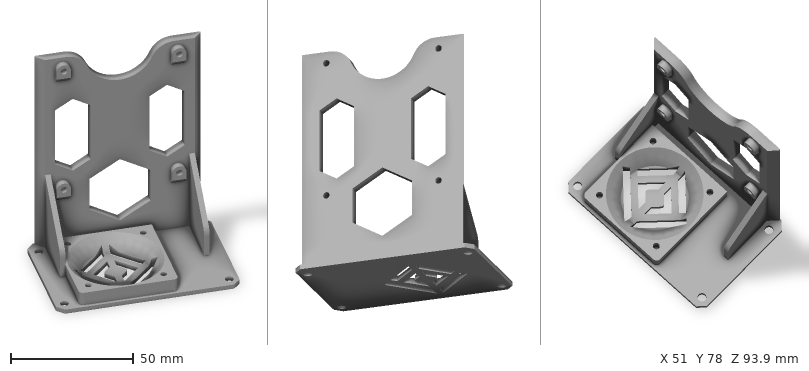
import cadquery as cq
import math

plate_length = 51.0
plate_width = 78.0
plate_thickness = 2.0
plate_chamfer = 3.1
mount_hole_diameter = 3.6
mount_hole_x_positions = (6.5, 46.5)
mount_hole_y = 35.0

total_height = 93.9
wall_thickness = 4.2
wall_half_width = 35.2
wall_bevel = 3.4
notch_radius = 15.0
notch_shoulder_radius = 10.0

large_window_radius = 15.0
large_window_z = 24.9
side_window_half_width = 7.5
side_window_straight_side = 26.5
side_window_y = 20.0
side_window_z = 55.3
window_slope = math.radians(30)

board_hole_diameter = 2.8
board_hole_y = 24.5
board_hole_top_z = 88.9
board_hole_pitch_z = 58.0
standoff_diameter = 6.0
standoff_height = 2.9
standoff_straight_drop = 3.5

rib_thickness = 2.4
rib_end_x = 27.5
rib_top_z = 37.6
rib_corner_radius = 6.0

fan_x = 28.7
fan_y = -8.4
fan_block_size = 42.0
fan_block_top_z = 8.0
fan_block_corner_radius = 2.0
fan_hole_pitch = 32.0
fan_hole_diameter = 2.8
bowl_rim_radius = 20.0
bowl_floor_radius = 14.0

grille_pitch = 3.0
hub_half_side = 3.75
hub_corner_radius = 1.2
grille_bar_width = 3.0
grille_turn = 45

half_plate_width = plate_width / 2
rib_outer_y = wall_half_width - wall_bevel
rib_inner_y = rib_outer_y - rib_thickness
board_hole_z_positions = (board_hole_top_z, board_hole_top_z - board_hole_pitch_z)


def box(x_range, y_range, z_range):
    """Axis-aligned box between the given limits."""
    size = [high - low for low, high in (x_range, y_range, z_range)]
    return cq.Workplane("XY").box(*size, centered=False).translate((x_range[0], y_range[0], z_range[0]))


def make_plate():
    plate = box((0, plate_length), (-half_plate_width, half_plate_width), (0, plate_thickness))
    plate = plate.edges("|Z").chamfer(plate_chamfer)
    holes = [(x, side * mount_hole_y) for x in mount_hole_x_positions for side in (-1, 1)]
    cutter = cq.Workplane("XY").pushPoints(holes).circle(mount_hole_diameter / 2).extrude(plate_thickness)
    return plate.cut(cutter)


def wall_notch():
    """Round notch in the top edge, blended into it by two convex shoulders."""
    centre_distance = notch_radius + notch_shoulder_radius
    shoulder_y = math.sqrt(centre_distance**2 - notch_shoulder_radius**2)
    shoulder_z = total_height - notch_shoulder_radius
    blend_y = shoulder_y * notch_radius / centre_distance
    blend_z = total_height - notch_shoulder_radius * notch_radius / centre_distance
    arc_start_angle = math.pi / 2
    arc_end_angle = math.atan2(notch_shoulder_radius, -shoulder_y)
    middle_angle = (arc_start_angle + arc_end_angle) / 2
    middle_y = shoulder_y + notch_shoulder_radius * math.cos(middle_angle)
    middle_z = shoulder_z + notch_shoulder_radius * math.sin(middle_angle)
    return (
        cq.Workplane("YZ")
        .moveTo(-shoulder_y, total_height)
        .threePointArc((-middle_y, middle_z), (-blend_y, blend_z))
        .threePointArc((0, total_height - notch_radius), (blend_y, blend_z))
        .threePointArc((middle_y, middle_z), (shoulder_y, total_height))
        .close()
        .extrude(wall_thickness)
    )


def hexagon_window(y, z, half_width, straight_side):
    """Hexagon with corners up and down and two upright sides."""
    corner_z = straight_side / 2
    tip_z = corner_z + half_width * math.tan(window_slope)
    points = [
        (y, z + tip_z),
        (y + half_width, z + corner_z),
        (y + half_width, z - corner_z),
        (y, z - tip_z),
        (y - half_width, z - corner_z),
        (y - half_width, z + corner_z),
    ]
    return cq.Workplane("YZ").polyline(points).close().extrude(wall_thickness)


def make_wall():
    bevel_start_x = wall_thickness - wall_bevel
    wall = (
        cq.Workplane("XY")
        .polyline([
            (0, -wall_half_width),
            (bevel_start_x, -wall_half_width),
            (wall_thickness, -rib_outer_y),
            (wall_thickness, rib_outer_y),
            (bevel_start_x, wall_half_width),
            (0, wall_half_width),
        ])
        .close()
        .extrude(total_height)
    )
    wall = wall.cut(wall_notch())
    large_half_width = large_window_radius * math.cos(window_slope)
    wall = wall.cut(hexagon_window(0, large_window_z, large_half_width, large_window_radius))
    for side in (-1, 1):
        wall = wall.cut(hexagon_window(
            side * side_window_y, side_window_z, side_window_half_width, side_window_straight_side
        ))
    return wall


def make_standoff(y, z):
    """Round-topped standoff on the back of the wall with a 45 degree underside."""
    radius = standoff_diameter / 2
    tip_x = wall_thickness + standoff_height
    underside_z = z - standoff_straight_drop
    round_top = cq.Workplane("YZ").center(y, z).circle(radius).extrude(tip_x)
    support = (
        cq.Workplane("XZ", origin=(0, y + radius, 0))
        .polyline([
            (wall_thickness, z),
            (tip_x, z),
            (tip_x, underside_z),
            (wall_thickness, underside_z - standoff_height),
        ])
        .close()
        .extrude(standoff_diameter)
    )
    top_half = round_top.intersect(
        box((wall_thickness, tip_x), (y - radius, y + radius), (z, z + radius))
    )
    return top_half.union(support)


def make_rib(start_y):
    """Upright rib with a 45 degree top edge, joining the wall to the plate."""
    corner_z = rib_top_z - (rib_end_x - wall_thickness)
    rib = (
        cq.Workplane("XZ", origin=(0, start_y + rib_thickness, 0))
        .polyline([(wall_thickness, 0), (rib_end_x, 0), (rib_end_x, corner_z), (wall_thickness, rib_top_z)])
        .close()
        .extrude(rib_thickness)
    )
    corner = cq.selectors.NearestToPointSelector((rib_end_x, start_y + rib_thickness / 2, corner_z))
    return rib.edges(corner).fillet(rib_corner_radius)


def make_fan_block():
    half = fan_block_size / 2
    block = box(
        (fan_x - half, fan_x + half), (fan_y - half, fan_y + half), (0, fan_block_top_z)
    )
    return block.edges("|Z and >X").fillet(fan_block_corner_radius)


def fan_bowl():
    """Conical bowl that narrows to the flat top of the plate."""
    return (
        cq.Workplane("XY", origin=(fan_x, fan_y, plate_thickness))
        .circle(bowl_floor_radius)
        .workplane(offset=fan_block_top_z - plate_thickness)
        .circle(bowl_rim_radius)
        .loft(ruled=True)
    )


def fan_holes():
    return (
        cq.Workplane("XY", origin=(fan_x, fan_y, plate_thickness))
        .rect(fan_hole_pitch, fan_hole_pitch, forConstruction=True)
        .vertices()
        .circle(fan_hole_diameter / 2)
        .extrude(fan_block_top_z)
    )


def grille_slots():
    """Two square slot rings turned by 45 degrees and parted by a bar along X.

    The two right-hand slots run out to the corners of the outer ring. The two
    left-hand slots stop one web short of them.
    """
    z_range = (0, fan_block_top_z)
    centre_ring = hub_half_side + grille_pitch
    outer_ring_inside = centre_ring + grille_pitch
    outer_ring = outer_ring_inside + grille_pitch

    def square(half_side):
        return box((-half_side, half_side), (-half_side, half_side), z_range)

    hub = square(hub_half_side).edges("|Z").fillet(hub_corner_radius)
    slots = square(centre_ring).cut(hub)
    full_run = (-outer_ring, outer_ring)
    upper_right = box((outer_ring_inside, outer_ring), full_run, z_range)
    lower_left = box((-outer_ring, -outer_ring_inside), (-centre_ring, outer_ring), z_range)
    upper_left = box((-outer_ring, centre_ring), (outer_ring_inside, outer_ring), z_range)
    lower_right = box(full_run, (-outer_ring, -outer_ring_inside), z_range)
    for slot in (upper_right, lower_left, upper_left, lower_right):
        slots = slots.union(slot)
    slots = slots.rotate((0, 0, 0), (0, 0, 1), grille_turn)
    half_bar = grille_bar_width / 2
    bar = box((-fan_block_size, fan_block_size), (-half_bar, half_bar), z_range)
    return slots.cut(bar).translate((fan_x, fan_y, 0))


def board_hole(y, z):
    depth = wall_thickness + standoff_height
    return cq.Workplane("YZ").center(y, z).circle(board_hole_diameter / 2).extrude(depth)


result = make_plate().union(make_wall()).union(make_fan_block())
for rib_start_y in (rib_inner_y, -rib_outer_y):
    result = result.union(make_rib(rib_start_y))
for side in (-1, 1):
    for hole_z in board_hole_z_positions:
        hole_y = side * board_hole_y
        result = result.union(make_standoff(hole_y, hole_z)).cut(board_hole(hole_y, hole_z))
result = result.cut(fan_bowl()).cut(fan_holes()).cut(grille_slots())